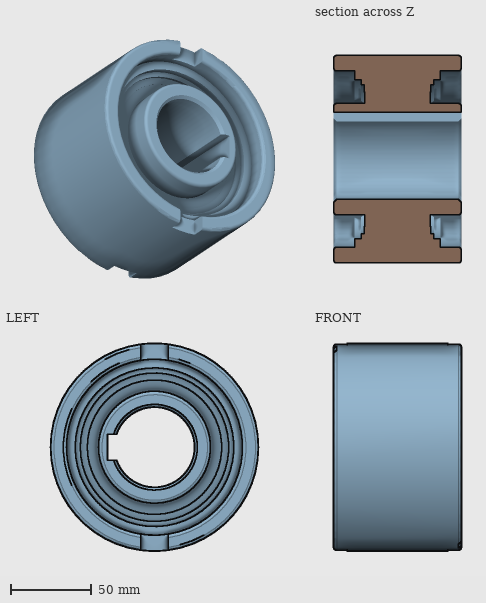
import cadquery as cq
width = 80.0
outer_radius = 65.0
edge_round = 2.0

hub_radius = 35.0
bore_radius = 25.0
bore_chamfer = 1.8
keyway_width = 16.0
keyway_reach = 29.3

recess_steps = [
    (55.0, 13.0),
    (49.6, 17.3),
    (46.4, 19.2),
    (42.0, 19.4),
]

slot_width = 17.0
slot_depth = 8.5

half_width = width / 2
rim_inner_radius = recess_steps[0][0]
ENDS = (-1, 1)


def x_cylinder(radius, x_start, x_end):
    """Cylinder about the X axis between two X positions."""
    return cq.Workplane("YZ", origin=(x_start, 0, 0)).circle(radius).extrude(x_end - x_start)


def end_recess(end):
    """Stepped ring cut into one end, leaving the hub standing."""
    face_x = end * half_width
    steps = cq.Workplane("YZ")
    for radius, depth in recess_steps:
        steps = steps.union(x_cylinder(radius, face_x, face_x - end * depth))
    return steps.cut(x_cylinder(hub_radius, -half_width, half_width))


def make_body():
    """Turned body: rim, stepped web and hub with rounded end edges."""
    body = x_cylinder(outer_radius, -half_width, half_width)
    for end in ENDS:
        body = body.cut(end_recess(end))
    body = body.faces("<X or >X").edges().fillet(edge_round)
    return body


def cut_bore(body):
    """Through bore with chamfered mouths and a keyway on the +Y side."""
    body = body.cut(x_cylinder(bore_radius, -half_width, half_width))
    mouth_edges = cq.selectors.RadiusNthSelector(0)
    body = body.faces("<X or >X").edges(mouth_edges).chamfer(bore_chamfer)
    keyway = cq.Workplane("XY").box(width, keyway_reach, keyway_width)
    return body.cut(keyway.translate((0, keyway_reach / 2, 0)))


def cut_slots(body):
    """Slots across the full rim thickness, open to the recess and the outside."""
    rim_interior = x_cylinder(rim_inner_radius, -half_width, half_width)
    for end in ENDS:
        slot = cq.Workplane("XY").box(slot_depth, slot_width, 2 * outer_radius)
        slot = slot.translate((end * (half_width - slot_depth / 2), 0, 0))
        body = body.cut(slot.cut(rim_interior))
    return body


result = cut_slots(cut_bore(make_body()))